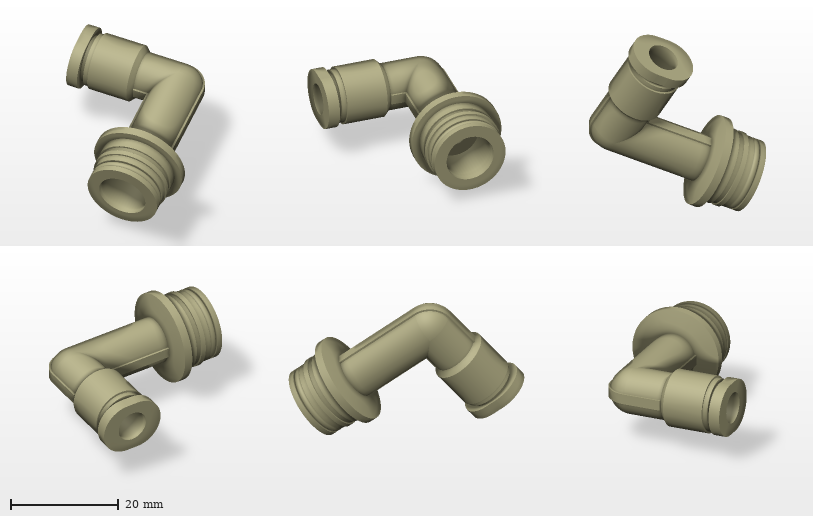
import cadquery as cq
import math


PIPE_RADIUS = 4.5
RIB_REACH = 4.77
RIB_WIDTH = 1.97

COLLAR_FACE = 20.3
COLLAR_LENGTH = 12.5
COLLAR_DIAMETER = 10.2
COLLAR_THICKNESS = 2.18
NECK_RADIUS = 4.5
NECK_WIDTH = 0.75
RING_RADIUS = COLLAR_DIAMETER / 2
RING_WIDTH = 1.0
SLEEVE_RADIUS = 5.5
SLEEVE_WIDTH = 7.9
SLEEVE_CHAMFER = SLEEVE_RADIUS - PIPE_RADIUS

SPIGOT_END = 28.3
SPIGOT_RADIUS = 6.995
BAND_RADIUS = 7.342
FLANGE_RADIUS = 8.85
TIP_WIDTH = 1.07
SEAL_WIDTH = 1.45
SEAL_LAND_WIDTH = 1.3
RIDGE_WIDTH = 0.95
GROOVE_WIDTH = 1.05
BAND_WIDTH = 1.97
FLANGE_WIDTH = 1.6
DOME_RADIUS = 30.05

PASSAGE_RADIUS = 2.25
TUBE_SOCKET_RADIUS = 3.0
TUBE_SOCKET_DEPTH = 10.35
SPIGOT_BORE_RADIUS = 4.647
SPIGOT_BORE_DEPTH = 8.65


def arm_x(radius, outer, length):
    """Cylinder on the X arm, starting at distance `outer` and running to the elbow."""
    return cq.Workplane("YZ", origin=(-outer, 0, 0)).circle(radius).extrude(length)


def arm_y(radius, outer, length):
    """Cylinder on the Y arm, starting at distance `outer` and running to the elbow."""
    return cq.Workplane("XZ", origin=(0, -outer, 0)).circle(radius).extrude(-length)


def elbow(radius, x_length, y_length):
    """Two cylinders joined by a ball at the corner."""
    corner = cq.Workplane("XY").sphere(radius)
    return corner.union(arm_x(radius, x_length, x_length)).union(arm_y(radius, y_length, y_length))


def rib():
    """L-shaped plate standing proud of the pipe, rounded on the outside of the bend."""
    corner = RIB_REACH * math.sqrt(0.5)
    return (
        cq.Workplane("XY", origin=(0, 0, -RIB_WIDTH / 2))
        .moveTo(-sleeve_inner, RIB_REACH)
        .lineTo(0, RIB_REACH)
        .threePointArc((corner, corner), (RIB_REACH, 0))
        .lineTo(RIB_REACH, -flange_inner)
        .lineTo(-RIB_REACH, -flange_inner)
        .lineTo(-RIB_REACH, -RIB_REACH)
        .lineTo(-sleeve_inner, -RIB_REACH)
        .close()
        .extrude(RIB_WIDTH)
    )


def tube_end():
    """Oval collar, neck, ring and chamfered sleeve."""
    neck_outer = COLLAR_FACE - COLLAR_THICKNESS
    ring_outer = neck_outer - NECK_WIDTH
    sleeve_outer = ring_outer - RING_WIDTH
    collar = (
        cq.Workplane("YZ", origin=(-COLLAR_FACE, 0, 0))
        .slot2D(COLLAR_LENGTH, COLLAR_DIAMETER)
        .extrude(COLLAR_THICKNESS)
    )
    sleeve = arm_x(SLEEVE_RADIUS, sleeve_outer, sleeve_outer - sleeve_inner)
    sleeve = sleeve.faces(">X").chamfer(SLEEVE_CHAMFER)
    return (
        collar.union(arm_x(NECK_RADIUS, neck_outer, NECK_WIDTH))
        .union(arm_x(RING_RADIUS, ring_outer, RING_WIDTH))
        .union(sleeve)
    )


def spigot():
    """Revolved spigot with a rounded seal, a ridge, a band and a domed flange."""
    seal_start = -SPIGOT_END + TIP_WIDTH
    seal_end = seal_start + SEAL_WIDTH
    ridge_start = seal_end + SEAL_LAND_WIDTH
    ridge_end = ridge_start + RIDGE_WIDTH
    band_start = ridge_end + GROOVE_WIDTH
    seal_root = SPIGOT_RADIUS - SEAL_WIDTH / 2
    dome_center = -flange_inner - math.sqrt(DOME_RADIUS**2 - FLANGE_RADIUS**2)
    middle_radius = FLANGE_RADIUS / 2
    dome_middle = dome_center + math.sqrt(DOME_RADIUS**2 - middle_radius**2)
    return (
        cq.Workplane("XY")
        .moveTo(0, -SPIGOT_END)
        .lineTo(SPIGOT_RADIUS, -SPIGOT_END)
        .lineTo(SPIGOT_RADIUS, seal_start)
        .lineTo(seal_root, seal_start)
        .threePointArc((SPIGOT_RADIUS, (seal_start + seal_end) / 2), (seal_root, seal_end))
        .lineTo(SPIGOT_RADIUS, seal_end)
        .lineTo(SPIGOT_RADIUS, ridge_start)
        .lineTo(BAND_RADIUS, ridge_start)
        .lineTo(BAND_RADIUS, ridge_end)
        .lineTo(SPIGOT_RADIUS, ridge_end)
        .lineTo(SPIGOT_RADIUS, band_start)
        .lineTo(BAND_RADIUS, band_start)
        .lineTo(BAND_RADIUS, flange_outer)
        .lineTo(FLANGE_RADIUS, flange_outer)
        .lineTo(FLANGE_RADIUS, -flange_inner)
        .threePointArc((middle_radius, dome_middle), (0, dome_center + DOME_RADIUS))
        .close()
        .revolve(360, (0, 0, 0), (0, 1, 0))
    )


sleeve_inner = (
    COLLAR_FACE - COLLAR_THICKNESS - NECK_WIDTH - RING_WIDTH - SLEEVE_WIDTH - SLEEVE_CHAMFER
)
spigot_length = (
    TIP_WIDTH + SEAL_WIDTH + SEAL_LAND_WIDTH + RIDGE_WIDTH + GROOVE_WIDTH + BAND_WIDTH
)
flange_outer = -SPIGOT_END + spigot_length
flange_inner = -flange_outer - FLANGE_WIDTH

body = elbow(PIPE_RADIUS, sleeve_inner, flange_inner)
body = body.union(rib()).union(tube_end()).union(spigot())

passage = elbow(PASSAGE_RADIUS, COLLAR_FACE, SPIGOT_END)
tube_socket = arm_x(TUBE_SOCKET_RADIUS, COLLAR_FACE, TUBE_SOCKET_DEPTH)
spigot_bore = arm_y(SPIGOT_BORE_RADIUS, SPIGOT_END, SPIGOT_BORE_DEPTH)

result = body.cut(passage).cut(tube_socket).cut(spigot_bore)